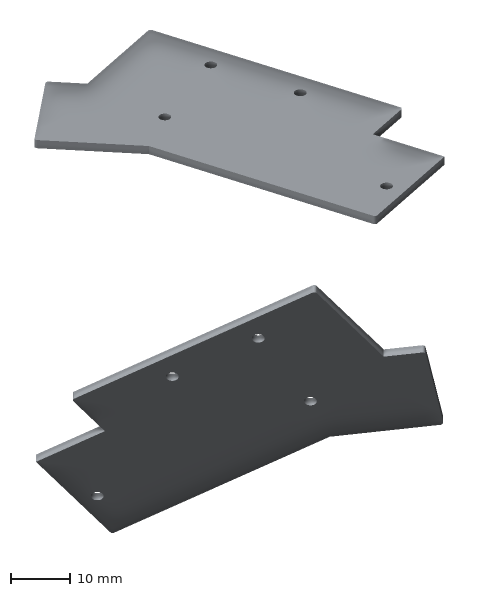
import cadquery as cq
import math

thickness = 1.6
length = 70.25
height = 40.7
main_left = 6.25
main_bottom = 8.1
corner_radius = 0.5

notch_width = 14.1
notch_depth = 9.9

wing_angle = math.radians(25)
elbow_x = 25.6
tip_loss = corner_radius * (math.cos(wing_angle) + math.sin(wing_angle) - 1)

hole_diameter = 2.2
upper_hole_y = 36.05
lower_hole_y = 17.55
hole_centers = [
    (21.1, upper_hole_y),
    (38.7, upper_hole_y),
    (23.05, lower_hole_y),
    (66.75, lower_hole_y),
]

wing_bottom_y = -tip_loss
wing_bottom_x = elbow_x - (main_bottom - wing_bottom_y) / math.tan(wing_angle)
wing_left_x = -tip_loss
wing_left_y = wing_bottom_y + (wing_bottom_x - wing_left_x) / math.tan(wing_angle)
wing_top_y = wing_left_y + (main_left - wing_left_x) * math.tan(wing_angle)

notch_x = length - notch_width
notch_y = height - notch_depth

rounded_corners = [
    (main_left, height),
    (notch_x, height),
    (length, main_bottom),
    (wing_bottom_x, wing_bottom_y),
    (wing_left_x, wing_left_y),
]


def make_plate():
    """Extrude the sharp outline."""
    outline = [
        (main_left, wing_top_y),
        (main_left, height),
        (notch_x, height),
        (notch_x, notch_y),
        (length, notch_y),
        (length, main_bottom),
        (elbow_x, main_bottom),
        (wing_bottom_x, wing_bottom_y),
        (wing_left_x, wing_left_y),
    ]
    return cq.Workplane("XY").polyline(outline).close().extrude(thickness)


def round_corners(plate):
    """Round the vertical edges at the chosen outer corners."""
    for x, y in rounded_corners:
        edge = plate.edges(cq.selectors.NearestToPointSelector((x, y, thickness / 2)))
        plate = edge.fillet(corner_radius)
    return plate


def drill_holes(plate):
    """Cut the round holes through the plate."""
    drills = cq.Workplane("XY").pushPoints(hole_centers).circle(hole_diameter / 2).extrude(thickness)
    return plate.cut(drills)


result = drill_holes(round_corners(make_plate()))